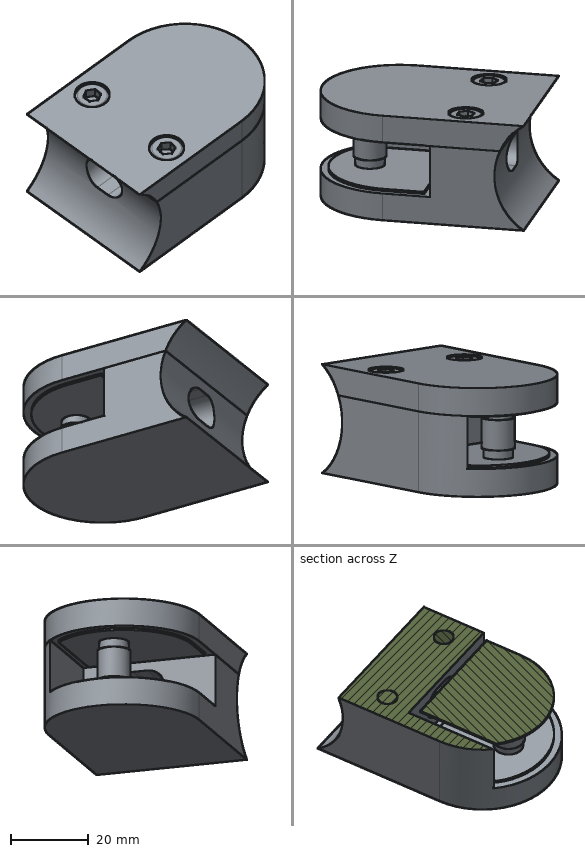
import cadquery as cq
import math

width = 41.0
length = 57.85
height = 28.5
end_radius = width / 2
tip_y = end_radius
back_y = tip_y - length

slot_height = 13.9
slot_depth = 33.1
side_wall = 5.05
slot_back_y = tip_y - slot_depth
slot_side_x = width / 2 - side_wall
plate_thickness = (height - slot_height) / 2
plate_bottom_z = slot_height / 2
top_z = height / 2

saddle_radius = 17.0
saddle_axis_y = back_y - math.sqrt(saddle_radius**2 - top_z**2)

fixing_hole_length = 12.95
fixing_hole_height = 9.1

gasket_thickness = 0.6
gasket_margin = 2.0

pin_y = tip_y - 12.55
pin_middle_diameter = 8.55
pin_middle_height = 8.0
pin_end_diameter = 7.7
pin_height = slot_height - 2 * gasket_thickness

screw_spacing = 27.0
screw_y = back_y + 16.9
screw_head_diameter = 9.0
screw_head_height = 5.0
screw_head_fillet = 0.7
screw_sink = 0.25
screw_shank_diameter = 5.0
screw_shank_length = 11.0
socket_across_flats = 4.0
socket_depth = 2.5
screw_turns = {-1: -3.0, 1: -10.0}

screw_seat_z = top_z - screw_sink - screw_head_height


def d_block(bottom_z, block_height):
    """Block with the clamp outline: square at the back, round at the tip."""
    return (
        cq.Workplane("XY", origin=(0, 0, bottom_z))
        .moveTo(-end_radius, back_y)
        .lineTo(end_radius, back_y)
        .lineTo(end_radius, 0)
        .threePointArc((0, tip_y), (-end_radius, 0))
        .close()
        .extrude(block_height)
    )


def post_cylinder():
    """Round post along X that shapes the saddle."""
    return (
        cq.Workplane("YZ", origin=(-width / 2, 0, 0))
        .center(saddle_axis_y, 0)
        .circle(saddle_radius)
        .extrude(width)
    )


def glass_slot():
    """Space for the glass, leaving a back wall and a wall on the +X side."""
    return cq.Workplane("XY").box(
        slot_side_x + end_radius, slot_depth, slot_height, centered=False
    ).translate((-end_radius, slot_back_y, -slot_height / 2))


def fixing_hole():
    """Oblong passage along Y from the saddle to the back of the slot."""
    return (
        cq.Workplane("XZ", origin=(0, slot_back_y, 0))
        .slot2D(fixing_hole_length, fixing_hole_height)
        .extrude(slot_back_y - back_y)
    )


def screw_blank(side, head_top_z):
    """Plain stepped cylinder of a screw, with its head reaching up to head_top_z."""
    centre_x = side * screw_spacing / 2
    seat = cq.Workplane("XY", origin=(centre_x, screw_y, screw_seat_z))
    head = seat.circle(screw_head_diameter / 2).extrude(head_top_z - screw_seat_z)
    shank = seat.circle(screw_shank_diameter / 2).extrude(-screw_shank_length)
    return head.union(shank)


def make_housing():
    """Lower jaw, back block and +X side wall in one piece."""
    body = d_block(-top_z, height - plate_thickness)
    body = body.cut(glass_slot()).cut(post_cylinder()).cut(fixing_hole())
    for side in screw_turns:
        body = body.cut(screw_blank(side, top_z))
    return body


def make_plate():
    """Upper jaw with the counterbored screw holes."""
    body = d_block(plate_bottom_z, plate_thickness).cut(post_cylinder())
    for side in screw_turns:
        body = body.cut(screw_blank(side, top_z))
    return body


def make_gasket(bottom_z):
    """Thin pad that keeps the same margin to the jaw outline and to the slot walls."""
    pad_radius = end_radius - gasket_margin
    pad_back_y = slot_back_y + gasket_margin
    pad_side_x = slot_side_x - gasket_margin
    arc_end_y = math.sqrt(pad_radius**2 - pad_side_x**2)
    return (
        cq.Workplane("XY", origin=(0, 0, bottom_z))
        .moveTo(-pad_radius, pad_back_y)
        .lineTo(pad_side_x, pad_back_y)
        .lineTo(pad_side_x, arc_end_y)
        .threePointArc((0, pad_radius), (-pad_radius, 0))
        .close()
        .extrude(gasket_thickness)
    )


def make_pin():
    """Upright pin with a thicker middle."""
    core = cq.Workplane("XY").cylinder(pin_height, pin_end_diameter / 2)
    middle = cq.Workplane("XY").cylinder(pin_middle_height, pin_middle_diameter / 2)
    return core.union(middle).translate((0, pin_y, 0))


def make_screw(side, turn):
    """Cap screw with a rounded head edge and a hex socket."""
    head_top_z = top_z - screw_sink
    across_corners = socket_across_flats / math.cos(math.pi / 6)
    socket = (
        cq.Workplane("XY")
        .polygon(6, across_corners)
        .extrude(-socket_depth)
        .rotate((0, 0, 0), (0, 0, 1), turn)
        .translate((side * screw_spacing / 2, screw_y, head_top_z))
    )
    return screw_blank(side, head_top_z).faces(">Z").edges().fillet(screw_head_fillet).cut(socket)


housing = make_housing()
plate = make_plate()
gaskets = [make_gasket(z) for z in (-slot_height / 2, slot_height / 2 - gasket_thickness)]
pin = make_pin()
screws = [make_screw(side, turn) for side, turn in screw_turns.items()]

result = cq.Compound.makeCompound(
    [
        housing.val(),
        plate.val(),
        *[gasket.val() for gasket in gaskets],
        pin.val(),
        *[screw.val() for screw in screws],
    ]
)